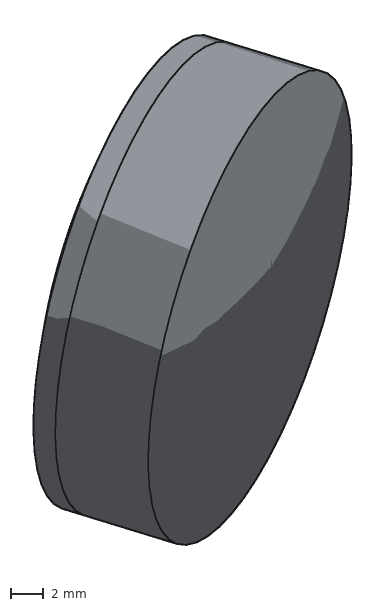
import cadquery as cq
import math

diameter = 30.0
thickness = 12.0
front_edge = 1.47
front_sag = 2.8
rear_sag = 1.55

radius = diameter / 2
rear_edge = thickness - front_sag - front_edge - rear_sag


def lens_element(edge, sag, direction):
    """Plano-convex disc with its flat face at X = 0 and its dome towards direction (+1 or -1)."""
    sphere_radius = (radius**2 + sag**2) / (2 * sag)
    rim_x = direction * edge
    pole_x = direction * (edge + sag)
    half_angle = math.asin(radius / sphere_radius) / 2
    mid_x = pole_x - direction * sphere_radius * (1 - math.cos(half_angle))
    mid_z = sphere_radius * math.sin(half_angle)
    return (
        cq.Workplane("XZ")
        .lineTo(0, radius)
        .lineTo(rim_x, radius)
        .threePointArc((mid_x, mid_z), (pole_x, 0))
        .close()
        .revolve(360, (0, 0, 0), (1, 0, 0))
    )


front_element = lens_element(front_edge, front_sag, -1)
rear_element = lens_element(rear_edge, rear_sag, 1)

result = cq.Compound.makeCompound([front_element.val(), rear_element.val()])